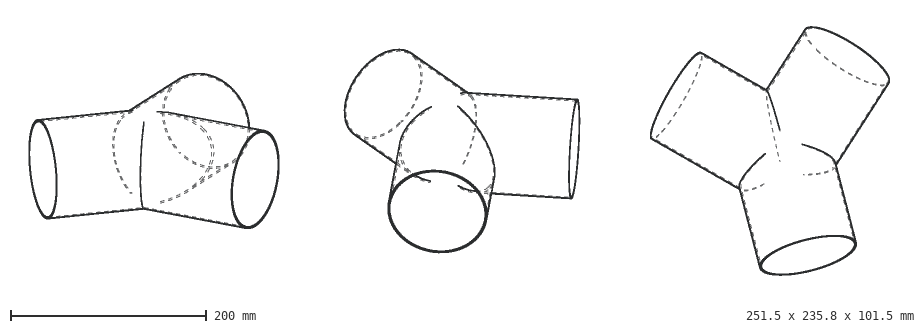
import cadquery as cq
import math

overall_width = 251.5
outer_diameter = 101.5
inner_diameter = 98.3
stem_length = 110.0
branch_angle = 45.0

outer_radius = outer_diameter / 2
inner_radius = inner_diameter / 2

sin_branch = math.sin(math.radians(branch_angle))
cos_branch = math.cos(math.radians(branch_angle))
branch_length = (overall_width / 2 - outer_radius * cos_branch) / sin_branch

legs = [
    (stem_length, cq.Vector(0, -1, 0)),
    (branch_length, cq.Vector(-sin_branch, cos_branch, 0)),
    (branch_length, cq.Vector(sin_branch, cos_branch, 0)),
]


def joined_cylinders(radius):
    """Fuse one solid cylinder per leg, all starting at the junction."""
    body = cq.Workplane("XY")
    for length, direction in legs:
        body = body.add(cq.Solid.makeCylinder(radius, length, cq.Vector(0, 0, 0), direction))
    return body.combine()


result = joined_cylinders(outer_radius).cut(joined_cylinders(inner_radius))